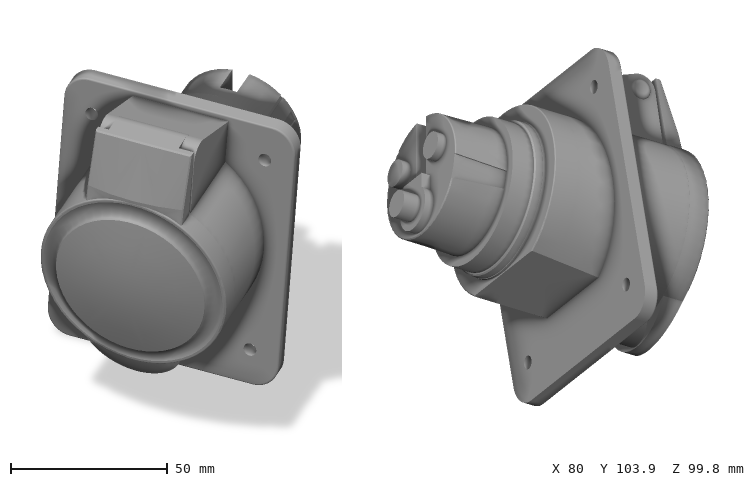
import cadquery as cq
import math


body_radius = 32.2
lid_depth = 7.5
lid_edge_fillet = 0.5
groove_outer_radius = 31.1
groove_mid_radius = 29.1
groove_depth = 0.6
groove_clearance = 1.0
dome_radius = 25.8
dome_edge_y = -2.2
dome_apex_y = -6.4
seam_step = 0.1

plate_width = 80.0
plate_top = 44.0
plate_bottom = -49.3
plate_corner_radius = 8.3
plate_tilt = 10.0
plate_front_y = 31.4
plate_run = 5.0
plate_edge_fillet = 0.6
hole_diameter = 4.4
hole_x = 30.0
hole_z_top = 31.9
hole_z_bottom = -36.8

rear_body_end = 57.7
rear_body_radius = 31.9
rear_body_fillet = 0.4
rear_floor_front_z = -28.1
rear_floor_back_z = -26.6
wide_collar_end = 61.5
collar_seat_end = 58.6
collar_seat_radius = 26.2
wide_collar_front_radius = 26.0
wide_collar_back_radius = 25.8
narrow_collar_end = 69.2
narrow_collar_radius = 24.8
collar_chamfer = 0.4

cap_end = 88.3
cap_front_radius = 21.4
cap_back_radius = 21.0
cap_fillet = 0.4
slot_width = 5.9
slot_front_y = 77.9
panel_depth = 0.5
side_panel_z = -5.4
side_panel_front_height = 5.8
side_panel_back_height = 8.0
groove_cut_depth = 0.6
key_groove_angle = 27.0
key_groove_width = 3.5
key_groove_front = 72.0
key_groove_back = 87.1
seam_groove_angle = 47.0
seam_groove_width = 1.0

boss_end = 91.5
boss_radius = 4.6
boss_x = 10.8
boss_z = 5.4
terminal_end = 97.5
terminal_z = -12.6
terminal_base_radius = 7.6
terminal_key_half_width = 5.5
terminal_key_top = -2.2

hinge_half_width = 16.6
lug_left_x = -12.9
lug_right_x = 11.3
pin_y = 16.2
pin_z = 44.9
ear_radius = 5.5
lug_radius = 5.6
housing_back_y = 38.8
housing_back_z = 42.2
housing_foot_y = 7.9
housing_foot_z = 27.0
flap_top_back_y = 10.6
flap_top_front_y = 8.5
flap_bend_z = 33.1
flap_bend_side_y = 1.9
flap_bend_back_y = 7.4
flap_foot_y = 6.4
flap_foot_front_y = 0.2
flap_bow = 0.1
flap_edge_bevel = 0.4
lug_bottom_z = 33.3
pin_head_radius = 3.5
pin_head_height = 1.1
pin_head_flat_radius = 2.0
pin_head_round = 1.6

tongue_z = -21.4
tongue_lid_radius = 17.5
body_rib_radius = 6.2
body_rib_z = -32.2
tongue_bevel_depth = 3.1
tongue_bevel_inner_radius = 31.6

flap_top_z = pin_z + lug_radius
tongue_reach = tongue_lid_radius - tongue_z
plate_slope = math.tan(math.radians(plate_tilt))


def cylinder(radius, y_start, y_end, x=0, z=0):
    """Cylinder along Y between two stations."""
    base = cq.Workplane("XZ", origin=(x, y_start, z))
    return base.circle(radius).extrude(y_start - y_end)


def cone(front_radius, back_radius, y_start, y_end):
    """Tapered round section about the body axis."""
    profile = [(0, y_start), (front_radius, y_start), (back_radius, y_end), (0, y_end)]
    return cq.Workplane("XY").polyline(profile).close().revolve(360, (0, 0, 0), (0, 1, 0))


def side_prism(points, half_width):
    """Prism from (Y, Z) points, centred on X = 0."""
    return cq.Workplane("YZ").polyline(points).close().extrude(half_width, both=True)


def plate_y(front_y, z):
    """Y on a tilted plane parallel to the plate that crosses Z = 0 at front_y."""
    return front_y + plate_slope * z


def make_lid():
    profile = (
        cq.Workplane("XY")
        .moveTo(0, lid_depth)
        .lineTo(body_radius, lid_depth)
        .lineTo(body_radius, lid_edge_fillet)
        .radiusArc((body_radius - lid_edge_fillet, 0), lid_edge_fillet)
        .lineTo(groove_outer_radius, 0)
        .threePointArc((groove_mid_radius, groove_depth), (dome_radius, dome_edge_y))
    )
    rise = dome_edge_y - dome_apex_y
    sphere_radius = (dome_radius**2 + rise**2) / (2 * rise)
    half_angle = math.asin(dome_radius / sphere_radius) / 2
    dome_middle = (
        sphere_radius * math.sin(half_angle),
        dome_apex_y + sphere_radius * (1 - math.cos(half_angle)),
    )
    profile = profile.threePointArc(dome_middle, (0, dome_apex_y)).close()
    return profile.revolve(360, (0, 0, 0), (0, 1, 0))


def make_front_body():
    """Body and its lower rib running from the lid into the tilted plate."""
    back_y = plate_front_y + plate_run / 2
    body = cylinder(body_radius - seam_step, lid_depth, 2 * back_y)
    body = body.union(cylinder(body_rib_radius, lid_depth, 2 * back_y, z=body_rib_z))
    ahead_of_plate = side_prism(
        [
            (0, 2 * plate_bottom),
            (plate_y(back_y, 2 * plate_bottom), 2 * plate_bottom),
            (plate_y(back_y, plate_top), plate_top),
            (0, plate_top),
        ],
        body_radius,
    )
    return body.intersect(ahead_of_plate)


def make_lid_tongue():
    """Rounded lip of the lid with a conical front bevel."""
    tongue = cylinder(tongue_lid_radius, 0, lid_depth, z=tongue_z)
    bevel = cone(tongue_bevel_inner_radius, tongue_reach, 0, tongue_bevel_depth)
    envelope = bevel.union(cylinder(tongue_reach, tongue_bevel_depth, lid_depth))
    return tongue.intersect(envelope).cut(cylinder(groove_outer_radius, 0, groove_clearance))


def make_plate():
    height = plate_top - plate_bottom
    middle_z = (plate_top + plate_bottom) / 2
    outline = (
        cq.Workplane("XZ", origin=(0, 0, middle_z))
        .rect(plate_width, height)
        .extrude(-rear_body_end)
        .edges("|Y")
        .fillet(plate_corner_radius)
    )
    back_y = plate_front_y + plate_run
    slab = side_prism(
        [
            (plate_y(plate_front_y, plate_bottom), plate_bottom),
            (plate_y(plate_front_y, plate_top), plate_top),
            (plate_y(back_y, plate_top), plate_top),
            (plate_y(back_y, plate_bottom), plate_bottom),
        ],
        plate_width / 2,
    )
    front_center = (0, plate_y(plate_front_y, middle_z), middle_z)
    plate = outline.intersect(slab)
    plate = plate.faces(cq.NearestToPointSelector(front_center)).edges().fillet(plate_edge_fillet)
    for x in (-hole_x, hole_x):
        for z in (hole_z_bottom, hole_z_top):
            plate = plate.cut(cylinder(hole_diameter / 2, 0, rear_body_end, x, z))
    return plate


def make_rear_body():
    """Round body behind the plate, cut off below by a slightly drafted floor."""
    start_y = plate_front_y + plate_run / 2
    body = cone(body_radius, rear_body_radius, 0, rear_body_end)
    body = body.faces(">Y").edges().fillet(rear_body_fillet)
    keep = side_prism(
        [
            (plate_y(start_y, rear_floor_front_z), rear_floor_front_z),
            (plate_y(start_y, plate_top), plate_top),
            (rear_body_end, plate_top),
            (rear_body_end, rear_floor_back_z),
        ],
        body_radius,
    )
    return body.intersect(keep)


def make_collars():
    seat = cylinder(collar_seat_radius, rear_body_end, collar_seat_end)
    wide = cone(wide_collar_front_radius, wide_collar_back_radius, collar_seat_end, wide_collar_end)
    wide = wide.faces(">Y").chamfer(collar_chamfer)
    narrow = cylinder(narrow_collar_radius, wide_collar_end, narrow_collar_end)
    return seat.union(wide).union(narrow)


def make_side_panel():
    """Shallow recess on the -X side that widens toward the back."""
    front_half = side_panel_front_height / 2
    back_half = side_panel_back_height / 2
    block = (
        cq.Workplane("YZ")
        .polyline(
            [
                (narrow_collar_end, side_panel_z - front_half),
                (cap_end, side_panel_z - back_half),
                (cap_end, side_panel_z + back_half),
                (narrow_collar_end, side_panel_z + front_half),
            ]
        )
        .close()
        .extrude(-cap_front_radius)
    )
    core = cone(
        cap_front_radius - panel_depth, cap_back_radius - panel_depth, narrow_collar_end, cap_end
    )
    return block.cut(core)


def radial_groove(angle, width, y_start, y_end):
    """Shallow groove along Y at an angle from +X about the axis."""
    groove = cq.Workplane("XY").box(
        cap_front_radius, y_end - y_start, width, centered=(False, False, True)
    )
    groove = groove.translate((cap_back_radius - groove_cut_depth, y_start, 0))
    return groove.rotate((0, 0, 0), (0, 1, 0), -angle)


def make_cap():
    cap = cone(cap_front_radius, cap_back_radius, narrow_collar_end, cap_end)
    cap = cap.faces(">Y").edges().fillet(cap_fillet)
    cap = cap.cut(make_side_panel())
    slot = cq.Workplane("XY").box(
        slot_width,
        cap_end - slot_front_y,
        cap_front_radius - terminal_key_top,
        centered=(True, False, False),
    )
    cap = cap.cut(slot.translate((0, slot_front_y, terminal_key_top)))
    cap = cap.cut(radial_groove(key_groove_angle, key_groove_width, key_groove_front, key_groove_back))
    return cap.cut(radial_groove(seam_groove_angle, seam_groove_width, narrow_collar_end, cap_end))


def make_contacts():
    """Two plain bosses and the keyed terminal, each rooted inside the cap."""
    root_y = slot_front_y
    contacts = cylinder(boss_radius, root_y, terminal_end, z=terminal_z)
    for x in (-boss_x, boss_x):
        contacts = contacts.union(cylinder(boss_radius, root_y, boss_end, x, boss_z))
    contacts = contacts.union(cylinder(terminal_base_radius, root_y, boss_end, z=terminal_z))
    key = cq.Workplane("XY").box(
        2 * terminal_key_half_width,
        boss_end - root_y,
        terminal_key_top - terminal_z,
        centered=(True, False, False),
    )
    return contacts.union(key.translate((0, root_y, terminal_z)))


def tangent_point(y, z, side):
    """Touching point on the hinge knuckle of a line from (y, z); side is +1 or -1."""
    direction = math.atan2(z - pin_z, y - pin_y)
    opening = math.acos(ear_radius / math.hypot(y - pin_y, z - pin_z))
    angle = direction + side * opening
    return pin_y + ear_radius * math.cos(angle), pin_z + ear_radius * math.sin(angle)


def make_hinge_housing():
    """Block on the body whose top corner is rounded about the hinge pin."""
    back_top = tangent_point(housing_back_y, housing_back_z, 1)
    front_top = tangent_point(housing_foot_y, housing_foot_z, -1)
    diagonal = ear_radius / math.sqrt(2)
    return (
        cq.Workplane("YZ")
        .moveTo(housing_foot_y, housing_foot_z)
        .lineTo(*front_top)
        .threePointArc((pin_y - diagonal, pin_z + diagonal), back_top)
        .lineTo(housing_back_y, housing_back_z)
        .lineTo(plate_y(plate_front_y, housing_back_z), housing_back_z)
        .lineTo(plate_y(plate_front_y, 0), 0)
        .lineTo(housing_foot_y, 0)
        .close()
        .extrude(hinge_half_width, both=True)
    )


def flap_section(z, front_side_y, front_middle_y, back_y):
    """Level section of the flap whose front edge bows forward at the middle."""
    inner_x = hinge_half_width - flap_edge_bevel
    return (
        cq.Workplane("XY", origin=(0, 0, z))
        .moveTo(-hinge_half_width, back_y)
        .lineTo(-hinge_half_width, front_side_y + flap_edge_bevel)
        .lineTo(-inner_x, front_side_y)
        .threePointArc((0, front_middle_y), (inner_x, front_side_y))
        .lineTo(hinge_half_width, front_side_y + flap_edge_bevel)
        .lineTo(hinge_half_width, back_y)
        .close()
        .wires()
        .val()
    )


def make_flap():
    """Sloped flap of the lid, nearly straight at its top and foot and bowed at the bend."""
    top = flap_section(flap_top_z, flap_top_front_y, flap_top_front_y - flap_bow, flap_top_back_y)
    bend = flap_section(flap_bend_z, flap_bend_side_y, 0, flap_bend_back_y)
    foot = flap_section(housing_foot_z, flap_foot_front_y + flap_bow, flap_foot_front_y, flap_foot_y)
    flap = cq.Workplane(cq.Solid.makeLoft([foot, bend, top], True))
    flap = flap.faces(">Z").edges("<Y").chamfer(flap_edge_bevel)
    return flap.cut(cylinder(groove_outer_radius, 0, groove_clearance))


def make_lug():
    """Lug of the lid that wraps the hinge pin between the ears."""
    block = (
        cq.Workplane("YZ", origin=(lug_left_x, 0, 0))
        .moveTo(flap_bend_back_y, lug_bottom_z)
        .lineTo(flap_top_back_y, flap_top_z)
        .lineTo(pin_y, flap_top_z)
        .lineTo(pin_y, lug_bottom_z)
        .close()
        .extrude(lug_right_x - lug_left_x)
    )
    barrel = (
        cq.Workplane("YZ", origin=(lug_left_x, pin_y, pin_z))
        .circle(lug_radius)
        .extrude(lug_right_x - lug_left_x)
    )
    return block.union(barrel)


def make_pin_head():
    """Button head on the -X side with a rounded edge and a small flat."""
    face_x = -hinge_half_width - pin_head_height
    return (
        cq.Workplane("XY", origin=(0, pin_y, pin_z))
        .moveTo(-hinge_half_width, 0)
        .lineTo(-hinge_half_width, pin_head_radius)
        .radiusArc((face_x, pin_head_flat_radius), -pin_head_round)
        .lineTo(face_x, 0)
        .close()
        .revolve(360, (0, 0, 0), (1, 0, 0))
    )


result = make_lid()
for piece in (
    make_front_body(),
    make_lid_tongue(),
    make_plate(),
    make_rear_body(),
    make_collars(),
    make_cap(),
    make_contacts(),
    make_hinge_housing(),
    make_flap(),
    make_lug(),
    make_pin_head(),
):
    result = result.union(piece)